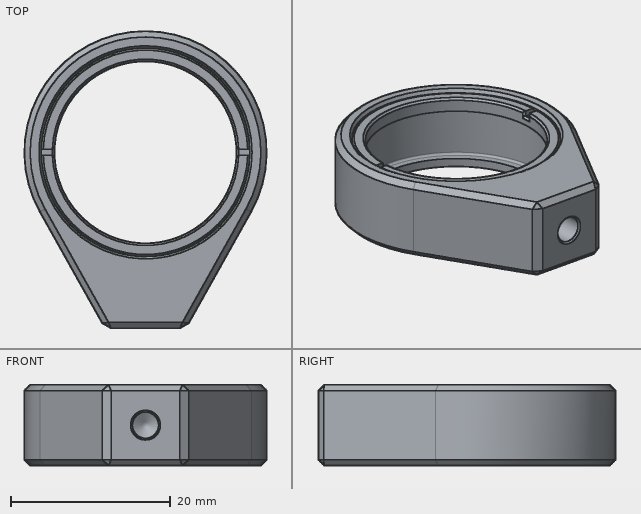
import cadquery as cq
import math

overall_length = 37.35
head_radius = 15.25
thickness = 10.15
foot_width = thickness
foot_y = head_radius - overall_length
edge_chamfer = 0.75

thread_lead_in_slope = math.tan(math.radians(60))

bore_radius = 13.1
bore_floor_fillet = 0.3
bore_mouth_chamfer_width = 0.28
bore_mouth_chamfer_depth = bore_mouth_chamfer_width * thread_lead_in_slope
lip_thickness = 1.12
lip_radius = 11.8

mount_radius = 1.65
mount_mouth_chamfer = 0.22
mount_depth = 5.6
drill_point_angle = 118.0

ring_inner_radius = 11.43
ring_thickness = 1.8
ring_recess = 0.45
ring_inner_chamfer = 0.28
ring_outer_chamfer_width = 0.25
ring_outer_chamfer_depth = ring_outer_chamfer_width * thread_lead_in_slope
slot_width = 0.8
slot_depth = 0.75


def head_tangent_point():
    """Point on the +X side where the flank from the foot corner touches the head circle."""
    corner_x = foot_width / 2
    corner_distance = math.hypot(corner_x, foot_y)
    corner_angle = math.atan2(foot_y, corner_x)
    tangent_angle = corner_angle + math.acos(head_radius / corner_distance)
    return head_radius * math.cos(tangent_angle), head_radius * math.sin(tangent_angle)


def make_foot_corner_cutter():
    """Tool for the chamfer on the +X vertical edge of the foot.

    Its profile lies in the plane that bisects the corner. Between the rim chamfers it cuts
    edge_chamfer off both walls; above and below it slopes to the corner of each end face.
    """
    tangent_x, tangent_y = head_tangent_point()
    corner_x = foot_width / 2
    flank_angle = math.atan2(tangent_y - foot_y, tangent_x - corner_x)
    half_corner_angle = (math.pi - flank_angle) / 2
    inward_angle = flank_angle + half_corner_angle
    inward = cq.Vector(math.cos(inward_angle), math.sin(inward_angle), 0)
    across = cq.Vector(-inward.y, inward.x, 0)

    wall_inset = edge_chamfer * math.cos(half_corner_angle)
    rim_inset = edge_chamfer / math.sin(half_corner_angle)
    outside = -edge_chamfer
    bisecting_plane = cq.Plane(origin=(corner_x, foot_y, 0), xDir=inward, normal=across.multiply(-1))
    return (
        cq.Workplane(bisecting_plane)
        .moveTo(outside, 0)
        .lineTo(rim_inset, 0)
        .lineTo(wall_inset, edge_chamfer)
        .lineTo(wall_inset, thickness - edge_chamfer)
        .lineTo(rim_inset, thickness)
        .lineTo(outside, thickness)
        .close()
        .extrude(2 * edge_chamfer, both=True)
    )


def make_blank():
    """Solid outline of the housing with all outer edges chamfered."""
    tangent_x, tangent_y = head_tangent_point()
    blank = (
        cq.Workplane("XY")
        .moveTo(-foot_width / 2, foot_y)
        .lineTo(foot_width / 2, foot_y)
        .lineTo(tangent_x, tangent_y)
        .threePointArc((0, head_radius), (-tangent_x, tangent_y))
        .close()
        .extrude(thickness)
    )
    blank = blank.faces("|Z").edges().chamfer(edge_chamfer)
    corner_cutter = make_foot_corner_cutter()
    return blank.cut(corner_cutter).cut(corner_cutter.mirror("YZ"))


def make_bore_cutter():
    """Revolved tool for the clear aperture, the ring seat, its floor fillet and its mouth chamfer."""
    return (
        cq.Workplane("XZ")
        .lineTo(lip_radius, 0)
        .lineTo(lip_radius, lip_thickness)
        .lineTo(bore_radius - bore_floor_fillet, lip_thickness)
        .radiusArc((bore_radius, lip_thickness + bore_floor_fillet), -bore_floor_fillet)
        .lineTo(bore_radius, thickness - bore_mouth_chamfer_depth)
        .lineTo(bore_radius + bore_mouth_chamfer_width, thickness)
        .lineTo(0, thickness)
        .close()
        .revolve(360, (0, 0, 0), (0, 1, 0))
    )


def make_mount_hole_cutter():
    """Revolved tool for the blind hole with a chamfered mouth and a conical drill point."""
    point_length = mount_radius / math.tan(math.radians(drill_point_angle / 2))
    return (
        cq.Workplane("XY", origin=(0, foot_y, thickness / 2))
        .polyline([
            (0, 0),
            (mount_radius + mount_mouth_chamfer, 0),
            (mount_radius, mount_mouth_chamfer),
            (mount_radius, mount_depth),
            (0, mount_depth + point_length),
        ])
        .close()
        .revolve(360, (0, 0, 0), (0, 1, 0))
    )


def make_housing():
    return make_blank().cut(make_bore_cutter()).cut(make_mount_hole_cutter())


def make_ring_blank(ring_top):
    """Plain ring with a chamfered inner rim and a steeper chamfer on its outer rim."""
    ring_bottom = ring_top - ring_thickness
    return (
        cq.Workplane("XZ")
        .polyline([
            (ring_inner_radius, ring_bottom),
            (bore_radius, ring_bottom),
            (bore_radius, ring_top - ring_outer_chamfer_depth),
            (bore_radius - ring_outer_chamfer_width, ring_top),
            (ring_inner_radius + ring_inner_chamfer, ring_top),
            (ring_inner_radius, ring_top - ring_inner_chamfer),
        ])
        .close()
        .revolve(360, (0, 0, 0), (0, 1, 0))
    )


def make_slot_cutter(ring_top):
    """Tool for one spanner slot on the +X side, chamfered where it opens into the ring's inside."""
    slot_floor = ring_top - slot_depth
    flare_start = ring_inner_radius + ring_inner_chamfer
    half_width = slot_width / 2
    half_flare = half_width + ring_inner_chamfer
    slot = (
        cq.Workplane("XY", origin=(0, 0, slot_floor))
        .moveTo(0, -half_flare)
        .lineTo(ring_inner_radius, -half_flare)
        .lineTo(flare_start, -half_width)
        .lineTo(bore_radius, -half_width)
        .lineTo(bore_radius, half_width)
        .lineTo(flare_start, half_width)
        .lineTo(ring_inner_radius, half_flare)
        .lineTo(0, half_flare)
        .close()
        .extrude(slot_depth)
    )
    floor_chamfer = (
        cq.Workplane("XZ", origin=(0, half_flare, 0))
        .moveTo(0, slot_floor)
        .lineTo(flare_start, slot_floor)
        .lineTo(ring_inner_radius, slot_floor - ring_inner_chamfer)
        .lineTo(0, slot_floor - ring_inner_chamfer)
        .close()
        .extrude(2 * half_flare)
    )
    return slot.union(floor_chamfer)


def make_retaining_ring():
    """Ring with a spanner slot on each side of its top face."""
    ring_top = thickness - ring_recess
    ring = make_ring_blank(ring_top)
    slot_cutter = make_slot_cutter(ring_top)
    for slot_angle in (0, 180):
        ring = ring.cut(slot_cutter.rotate((0, 0, 0), (0, 0, 1), slot_angle))
    return ring


housing = make_housing()
retaining_ring = make_retaining_ring()

result = cq.Compound.makeCompound([housing.val(), retaining_ring.val()])